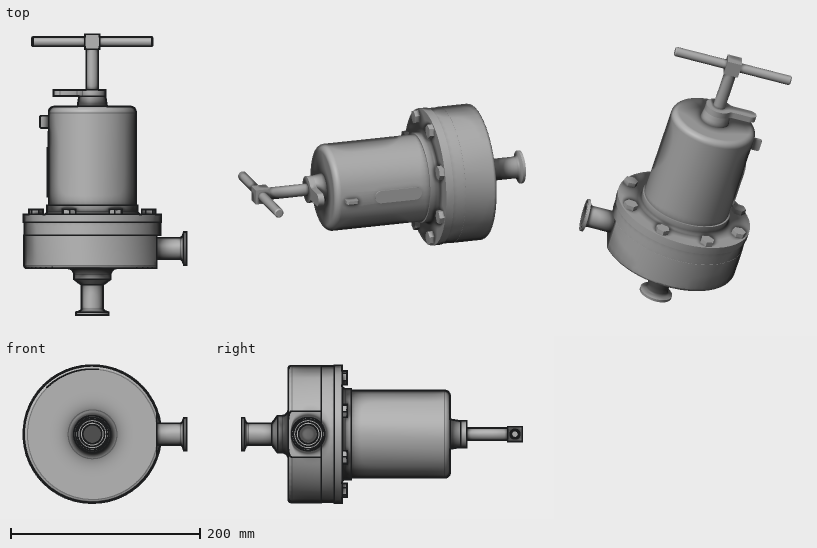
import cadquery as cq
import math


outlet_boss_cone_start = 32.0
outlet_boss_cone_end = 38.0
body_bottom = 49.3
body_top = 84.3
ring_top = 98.0
flange_top = 106.3
collar_top = 116.0
housing_top = 220.5
neck_top = 231.5
lever_top = 238.0
overall_length = 296.8

outlet_boss_radius = 19.5
outlet_boss_fillet = 6.2
body_radius = 72.5
body_fillet = 3.5
ring_radius = 72.0
flange_radius = 73.0
collar_radius = 48.0
collar_fillet = 3.3
housing_radius = 46.3
housing_fillet = 6.5
neck_base_radius = 15.7
neck_top_radius = 14.0
stem_radius = 6.5

body_flat_x = 68.3

pipe_radius = 11.5
pipe_bore_radius = 10.0
ferrule_radius = 17.5
ferrule_neck = 6.8
ferrule_fillet = 2.7
ferrule_back_angle = 20.0
gasket_groove_radius = 14.2
gasket_groove_section = 1.35
inlet_face_x = 99.7
inlet_y = 70.3

bolt_count = 8
bolt_circle_radius = 64.5
bolt_across_flats = 13.0
bolt_head_height = 5.3

lever_hub_radius = 14.2
lever_half_width = 6.8
lever_tip_x = -41.3
lever_root_fillet = 7.7

handle_block_side = 15.7
handle_bar_radius = 5.0
handle_bar_length = 127.5
handle_bar_chamfer = 1.2

plate_face_x = -47.5
plate_length = 51.5
plate_width = 13.7
plate_thickness = 4.2
plate_y = 151.0
tab_end_x = -55.5
tab_y = 204.2
tab_length = 13.5
tab_thickness = 3.3
tab_corner_radius = 2.5

arc_middle_share = 1 - math.sqrt(0.5)


def cylinder(radius, start, end):
    """A solid cylinder on the main axis between two stations."""
    return cq.Workplane("XZ", origin=(0, start, 0)).circle(radius).extrude(start - end)


def turned(outline):
    """Revolve a closed XY outline about the main axis."""
    return outline.close().revolve(360, (0, 0, 0), (0, 1, 0))


def pipe_stub(length):
    """A pipe along +Y whose ferrule face lies at Y = 0."""
    back_angle = math.radians(ferrule_back_angle)
    fillet_center_radius = pipe_radius + ferrule_fillet

    def fillet_point(angle):
        """A point on the neck fillet, by the angle from the pipe to the flange back."""
        return (
            fillet_center_radius - ferrule_fillet * math.cos(angle),
            ferrule_neck - ferrule_fillet * math.sin(angle),
        )

    fillet_sweep = math.pi / 2 - back_angle
    back_start = fillet_point(fillet_sweep)
    rim_thickness = back_start[1] - (ferrule_radius - back_start[0]) * math.tan(back_angle)
    stub = turned(
        cq.Workplane("XY")
        .lineTo(ferrule_radius, 0)
        .lineTo(ferrule_radius, rim_thickness)
        .lineTo(*back_start)
        .threePointArc(fillet_point(fillet_sweep / 2), fillet_point(0))
        .lineTo(pipe_radius, length)
        .lineTo(0, length)
    )
    groove = (
        cq.Workplane("XY")
        .center(gasket_groove_radius, 0)
        .circle(gasket_groove_section)
        .revolve(360, (-gasket_groove_radius, 0, 0), (-gasket_groove_radius, 1, 0))
    )
    return stub.cut(groove)


def outlet_boss():
    """Conical boss that joins the outlet pipe to the body with a concave fillet."""
    arc_offset = outlet_boss_fillet * arc_middle_share
    return turned(
        cq.Workplane("XY")
        .moveTo(0, outlet_boss_cone_start)
        .lineTo(pipe_radius, outlet_boss_cone_start)
        .lineTo(outlet_boss_radius, outlet_boss_cone_end)
        .lineTo(outlet_boss_radius, body_bottom - outlet_boss_fillet)
        .threePointArc(
            (outlet_boss_radius + arc_offset, body_bottom - arc_offset),
            (outlet_boss_radius + outlet_boss_fillet, body_bottom),
        )
        .lineTo(0, body_bottom)
    )


def body():
    """Round body with a rounded lower rim and a flat on the inlet side."""
    solid = cylinder(body_radius, body_bottom, body_top).faces("<Y").edges().fillet(body_fillet)
    beyond_flat = cq.Workplane("XY").box(
        body_radius, body_top - body_bottom, 2 * body_radius, centered=(False, False, True)
    )
    return solid.cut(beyond_flat.translate((body_flat_x, body_bottom, 0)))


def collar():
    """Collar standing on the flange with a concave fillet at its foot."""
    arc_offset = collar_fillet * arc_middle_share
    return turned(
        cq.Workplane("XY")
        .moveTo(0, flange_top)
        .lineTo(collar_radius + collar_fillet, flange_top)
        .threePointArc(
            (collar_radius + arc_offset, flange_top + arc_offset),
            (collar_radius, flange_top + collar_fillet),
        )
        .lineTo(collar_radius, collar_top)
        .lineTo(0, collar_top)
    )


def housing():
    """Spring housing with a rounded top rim, and the tapered neck above it."""
    barrel = cylinder(housing_radius, collar_top, housing_top)
    barrel = barrel.faces(">Y").edges().fillet(housing_fillet)
    neck = turned(
        cq.Workplane("XY")
        .moveTo(0, housing_top)
        .lineTo(neck_base_radius, housing_top)
        .lineTo(neck_top_radius, neck_top)
        .lineTo(0, neck_top)
    )
    return barrel.union(neck)


def bolt_heads():
    """Hexagon heads on the flange, each with a flat facing the main axis."""
    half_facet_angle = 30
    hexagon_diameter = bolt_across_flats / math.cos(math.radians(half_facet_angle))
    pitch = 360 / bolt_count
    first_angle = pitch / 2
    head = (
        cq.Workplane("XZ", origin=(0, flange_top, 0))
        .transformed(rotate=(0, 0, half_facet_angle))
        .polygon(6, hexagon_diameter)
        .extrude(-bolt_head_height)
        .translate((bolt_circle_radius, 0, 0))
    )
    heads = cq.Workplane("XY")
    for index in range(bolt_count):
        heads = heads.union(head.rotate((0, 0, 0), (0, 1, 0), first_angle + index * pitch))
    return heads


def lever():
    """Round hub with a round-ended arm toward -X, blended into the hub."""
    fillet_center_z = lever_half_width + lever_root_fillet
    fillet_center_distance = lever_hub_radius + lever_root_fillet
    fillet_center_x = -math.sqrt(fillet_center_distance**2 - fillet_center_z**2)
    hub_share = lever_hub_radius / fillet_center_distance
    hub_tangent = (fillet_center_x * hub_share, fillet_center_z * hub_share)
    tip_center_x = lever_tip_x + lever_half_width

    hub = cylinder(lever_hub_radius, neck_top, lever_top)
    arm = (
        cq.Workplane("XZ", origin=(0, neck_top, 0))
        .lineTo(*hub_tangent)
        .radiusArc((fillet_center_x, lever_half_width), lever_root_fillet)
        .lineTo(tip_center_x, lever_half_width)
        .threePointArc((lever_tip_x, 0), (tip_center_x, -lever_half_width))
        .lineTo(fillet_center_x, -lever_half_width)
        .radiusArc((hub_tangent[0], -hub_tangent[1]), lever_root_fillet)
        .close()
        .extrude(neck_top - lever_top)
    )
    return hub.union(arm)


def handle():
    """Stem with a square block that carries the cross bar."""
    block_y = overall_length - handle_block_side / 2
    stem = cylinder(stem_radius, lever_top, block_y)
    block = cq.Workplane("XY").box(handle_block_side, handle_block_side, handle_block_side)
    bar = (
        cq.Workplane("YZ")
        .circle(handle_bar_radius)
        .extrude(handle_bar_length / 2, both=True)
        .faces("<X or >X")
        .edges()
        .chamfer(handle_bar_chamfer)
    )
    return stem.union(block.union(bar).translate((0, block_y, 0)))


def name_plate():
    """Flat round-ended plate standing slightly proud of the housing."""
    return (
        cq.Workplane("YZ", origin=(plate_face_x, plate_y, 0))
        .slot2D(plate_length, plate_width)
        .extrude(plate_thickness)
    )


def locating_tab():
    """Thin tab, rooted inside the housing, with rounded outer corners."""
    root_x = -housing_radius / 2
    return (
        cq.Workplane("XY")
        .box(root_x - tab_end_x, tab_length, tab_thickness, centered=(False, True, True))
        .edges("<X and |Z")
        .fillet(tab_corner_radius)
        .translate((tab_end_x, tab_y, 0))
    )


inlet = (
    pipe_stub(inlet_face_x - body_flat_x)
    .rotate((0, 0, 0), (0, 0, 1), 90)
    .translate((inlet_face_x, inlet_y, 0))
)
inlet_bore = (
    cq.Workplane("YZ", origin=(body_flat_x, inlet_y, 0))
    .circle(pipe_bore_radius)
    .extrude(inlet_face_x - body_flat_x)
)

result = (
    body()
    .union(cylinder(ring_radius, body_top, ring_top))
    .union(cylinder(flange_radius, ring_top, flange_top))
    .union(collar())
    .union(housing())
    .union(bolt_heads())
    .union(lever())
    .union(handle())
    .union(name_plate())
    .union(locating_tab())
    .union(outlet_boss())
    .union(pipe_stub(outlet_boss_cone_start))
    .union(inlet)
    .cut(cylinder(pipe_bore_radius, 0, body_bottom))
    .cut(inlet_bore)
)